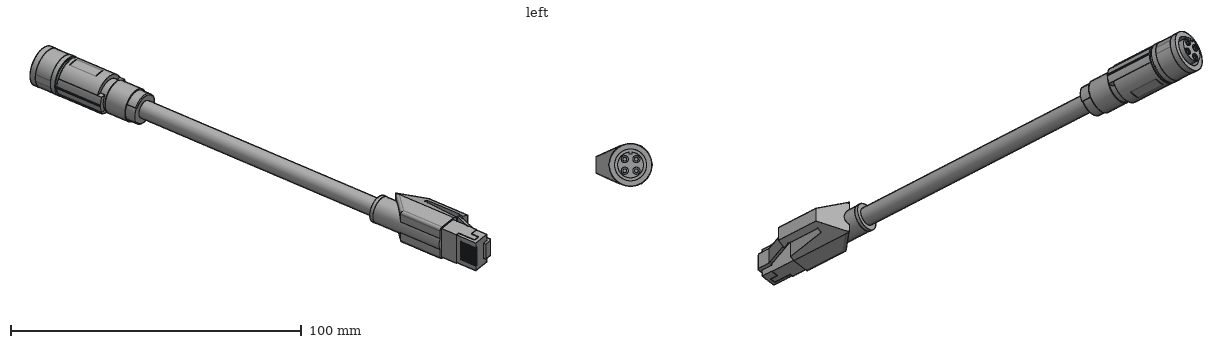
import cadquery as cq
import math

LENGTH = 189.2

CABLE_DIAMETER = 6.6

NUT_START = 1.3
NUT_RIM_END = 3.5
NUT_END = 10.0
COLLAR_END = 12.0
GRIP_START = 12.9
SLEEVE_END = 29.5
GRIP_END = 31.4
SHOULDER_END = 32.3
BOOT_END = 40.9
CONNECTOR_END = 44.8

COLLAR_DIAMETER = 14.8
NUT_DIAMETER = 14.5
NECK_DIAMETER = 13.6
SLEEVE_DIAMETER = 14.5
SHOULDER_DIAMETER = 11.5
BOOT_DIAMETER = 12.3
TAIL_DIAMETER = 11.3
TAIL_CHAMFER = 0.4
TAIL_RIB_DIAMETER = 11.5
TAIL_RIB_WIDTH = 6.2
NUT_FLAT_WIDTH = 2.8

GRIP_DIAMETER = 14.8
GRIP_WIDTH = 6.5
GRIP_RIDGE_Y = 7.5
GRIP_RIDGE_WIDTH = 0.5
PAD_START = 14.4
PAD_END = 25.5
PAD_WIDTH = 4.2
PAD_Z = 7.0

SOCKET_DIAMETER = 11.0
INSERT_DIAMETER = 8.9
SOCKET_DEPTH = 5.7
KEYWAY_WIDTH = 1.0
KEYWAY_DEPTH = 0.8
CONTACT_SPACING = 4.0
CONTACT_DEPTH = 3.8
CONTACT_DIAMETER = 1.3
CONTACT_MOUTH_DIAMETER = 2.5
CONTACT_MOUTH_DEPTH = 0.4

PLUG_BOOT_START = 144.3
PLUG_RIM_END = 145.6
PLUG_BOOT_END = 173.8
PLUG_RIM_DIAMETER = 10.0
PLUG_BOOT_DIAMETER = 9.8
BLOCK_START = 149.0
BLOCK_TOP = 3.5
BLOCK_BOTTOM = -4.4
BLOCK_WIDTH = 13.2
BLOCK_FILLET = 1.1

HOOD_TOP = 12.0
HOOD_TOP_WIDTH = 5.7
HOOD_TOP_START = 157.2
HOOD_LIP_Y = 8.7
SLOT_START = 158.3
SLOT_TOP = 9.5
SLOT_BOTTOM_START = 7.8
SLOT_BOTTOM_END = 5.3

PLUG_END = 188.2
PLUG_WIDTH = 11.7
PLUG_HEIGHT = 6.5
SHIELD_THICKNESS = 0.2
SHIELD_LOWER_END = 180.0
SHIELD_UPPER_END = 186.9
SHIELD_LOWER_Y = -2.0
SHIELD_UPPER_Y = 0.2
PLUG_SLOT_COUNT = 8
PLUG_SLOT_PITCH = 1.02
PLUG_SLOT_WIDTH = 0.5
PLUG_SLOT_START = 181.8
PLUG_SLOT_DEPTH = 0.5

LATCH_WIDTH = 6.5
LATCH_START = 183.9
LATCH_TOP = 4.7
LATCH_NOSE_BOTTOM = 1.3
LATCH_NOSE_CHAMFER = 0.5
ARM_START = 171.7
ARM_START_TOP = 9.8
ARM_THICKNESS = 1.1


def cylinder(start, end, diameter, y=0.0, z=0.0):
    """Cylinder along X between two stations."""
    return cq.Workplane("YZ", origin=(start, y, z)).circle(diameter / 2).extrude(end - start)


def box(x_range, y_range, z_range):
    """Box spanning the given (low, high) range along each axis."""
    low, high = zip(x_range, y_range, z_range)
    size = [top - bottom for bottom, top in zip(low, high)]
    return cq.Workplane("XY").box(*size, centered=False).translate(low)


def centred(width):
    """Range of the given width, centred on zero."""
    return (-width / 2, width / 2)


def prism(points, width):
    """XY outline extruded symmetrically about Z = 0."""
    return cq.Workplane("XY").polyline(points).close().extrude(width / 2, both=True)


def side_bands(start, end, diameter, width):
    """Strips of a cylinder on its -Y and +Y sides, joined through the axis."""
    return cylinder(start, end, diameter).intersect(
        box((start, end), centred(diameter), centred(width))
    )


def coupling_nut():
    """Rim, nut with a narrow flat on each side, and collar."""
    nut = cylinder(NUT_RIM_END, NUT_END, NUT_DIAMETER)
    flat_y = math.sqrt(NUT_DIAMETER**2 - NUT_FLAT_WIDTH**2) / 2
    nut = nut.intersect(box((NUT_RIM_END, NUT_END), (-flat_y, flat_y), centred(NUT_DIAMETER)))
    rim = cylinder(NUT_START, NUT_RIM_END, COLLAR_DIAMETER)
    collar = cylinder(NUT_END, COLLAR_END, COLLAR_DIAMETER)
    return rim.union(nut).union(collar)


def sleeve():
    """Neck and sleeve with a ridged grip on each side and a label pad above and below."""
    neck = cylinder(COLLAR_END, GRIP_START, NECK_DIAMETER)
    barrel = cylinder(GRIP_START, SLEEVE_END, SLEEVE_DIAMETER)
    for pad_z in ((PAD_Z, SLEEVE_DIAMETER / 2), (-SLEEVE_DIAMETER / 2, -PAD_Z)):
        barrel = barrel.cut(box((PAD_START, PAD_END), centred(PAD_WIDTH), pad_z))
    grips = side_bands(GRIP_START, GRIP_END, GRIP_DIAMETER, GRIP_WIDTH)
    ridges = box((GRIP_START, GRIP_END), (-GRIP_RIDGE_Y, GRIP_RIDGE_Y), centred(GRIP_RIDGE_WIDTH))
    return neck.union(barrel).union(grips).union(ridges)


def strain_relief():
    """Shoulder, boot and ribbed tail around the cable."""
    shoulder = cylinder(SLEEVE_END, SHOULDER_END, SHOULDER_DIAMETER)
    boot = cylinder(SHOULDER_END, BOOT_END, BOOT_DIAMETER)
    tail = cylinder(BOOT_END, CONNECTOR_END, TAIL_DIAMETER).faces(">X").chamfer(TAIL_CHAMFER)
    ribs = side_bands(BOOT_END, CONNECTOR_END, TAIL_RIB_DIAMETER, TAIL_RIB_WIDTH)
    return shoulder.union(boot).union(tail).union(ribs)


def cut_socket(body):
    """Open the annular socket and add the insert with its keyway and contact holes."""
    floor = NUT_START + SOCKET_DEPTH
    insert_radius = INSERT_DIAMETER / 2
    insert = cylinder(0, floor, INSERT_DIAMETER)
    insert = insert.cut(
        box((0, floor), centred(KEYWAY_WIDTH), (insert_radius - KEYWAY_DEPTH, insert_radius))
    )
    for y in centred(CONTACT_SPACING):
        for z in centred(CONTACT_SPACING):
            insert = insert.cut(cylinder(0, CONTACT_DEPTH, CONTACT_DIAMETER, y, z))
            insert = insert.cut(cylinder(0, CONTACT_MOUTH_DEPTH, CONTACT_MOUTH_DIAMETER, y, z))
    return body.cut(cylinder(NUT_START, floor, SOCKET_DIAMETER)).union(insert)


def plug_boot():
    """Round boot with a rim, carrying a block whose front slopes at 45 degrees."""
    slope_end = BLOCK_START + BLOCK_TOP - BLOCK_BOTTOM
    block = prism(
        [
            (BLOCK_START, BLOCK_TOP),
            (slope_end, BLOCK_BOTTOM),
            (PLUG_BOOT_END, BLOCK_BOTTOM),
            (PLUG_BOOT_END, BLOCK_TOP),
        ],
        BLOCK_WIDTH,
    )
    slope_edges = block.edges("not (|X or |Y or |Z)")
    bottom_edges = block.faces("<Y").edges("|X")
    block = slope_edges.add(bottom_edges).fillet(BLOCK_FILLET)
    rim = cylinder(PLUG_BOOT_START, PLUG_RIM_END, PLUG_RIM_DIAMETER)
    barrel = cylinder(PLUG_RIM_END, PLUG_BOOT_END, PLUG_BOOT_DIAMETER)
    return rim.union(barrel).union(block)


def latch_hood():
    """Tapered hood over the latch, open towards the plug."""
    side_outline = prism(
        [
            (BLOCK_START, BLOCK_TOP),
            (HOOD_TOP_START, HOOD_TOP),
            (PLUG_BOOT_END, HOOD_TOP),
            (PLUG_BOOT_END, HOOD_LIP_Y),
            (ARM_START, SLOT_TOP),
            (SLOT_START, SLOT_TOP),
            (SLOT_START, SLOT_BOTTOM_START),
            (PLUG_BOOT_END, SLOT_BOTTOM_END),
            (PLUG_BOOT_END, BLOCK_TOP),
        ],
        BLOCK_WIDTH,
    )
    taper = (
        cq.Workplane("YZ", origin=(BLOCK_START, 0, 0))
        .polyline(
            [
                (BLOCK_TOP, -BLOCK_WIDTH / 2),
                (HOOD_TOP, -HOOD_TOP_WIDTH / 2),
                (HOOD_TOP, HOOD_TOP_WIDTH / 2),
                (BLOCK_TOP, BLOCK_WIDTH / 2),
            ]
        )
        .close()
        .extrude(PLUG_BOOT_END - BLOCK_START)
    )
    return side_outline.intersect(taper)


def modular_plug():
    """Plug body wrapped in a thin shield, with a row of contact slots underneath."""
    half_height = PLUG_HEIGHT / 2
    core = box((PLUG_BOOT_END, PLUG_END), centred(PLUG_HEIGHT), centred(PLUG_WIDTH))
    shield_bottom = -half_height - SHIELD_THICKNESS
    shield = prism(
        [
            (PLUG_BOOT_END, shield_bottom),
            (SHIELD_LOWER_END, shield_bottom),
            (SHIELD_LOWER_END, SHIELD_LOWER_Y),
            (SHIELD_UPPER_END, SHIELD_LOWER_Y),
            (SHIELD_UPPER_END, SHIELD_UPPER_Y),
            (LATCH_START, SHIELD_UPPER_Y),
            (LATCH_START, half_height),
            (PLUG_BOOT_END, half_height),
        ],
        PLUG_WIDTH + 2 * SHIELD_THICKNESS,
    )
    plug = core.union(shield)
    slot = box(
        (PLUG_SLOT_START, PLUG_END),
        (-half_height, PLUG_SLOT_DEPTH - half_height),
        centred(PLUG_SLOT_WIDTH),
    )
    for index in range(PLUG_SLOT_COUNT):
        z = (index - (PLUG_SLOT_COUNT - 1) / 2) * PLUG_SLOT_PITCH
        plug = plug.cut(slot.translate((0, 0, z)))
    return plug


def latch():
    """Latch nose over the plug and the thin arm that slopes up into the hood."""
    nose = box((LATCH_START, LENGTH), (LATCH_NOSE_BOTTOM, LATCH_TOP), centred(LATCH_WIDTH))
    nose = nose.edges(">X and >Y").chamfer(LATCH_NOSE_CHAMFER)
    arm = prism(
        [
            (ARM_START, ARM_START_TOP),
            (LATCH_START, LATCH_TOP),
            (LATCH_START, LATCH_TOP - ARM_THICKNESS),
            (ARM_START, ARM_START_TOP - ARM_THICKNESS),
        ],
        LATCH_WIDTH,
    )
    return nose.union(arm)


connector = coupling_nut().union(sleeve()).union(strain_relief())
cable = cylinder(CONNECTOR_END, PLUG_BOOT_START, CABLE_DIAMETER)
result = cut_socket(connector).union(cable)
for piece in (plug_boot(), latch_hood(), modular_plug(), latch()):
    result = result.union(piece)